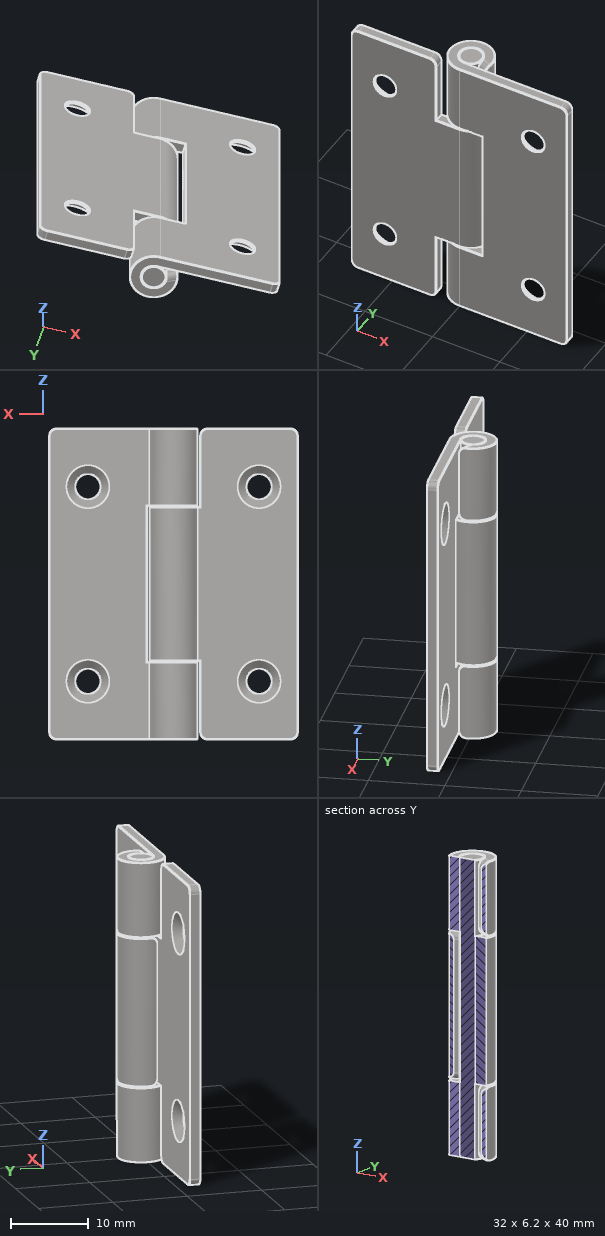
import cadquery as cq
import math

hinge_width = 32.0
hinge_height = 40.0
barrel_diameter = 6.2
pin_diameter = 3.2
curl_end_angle = -27.0
middle_knuckle_length = 19.8
knuckle_gap = 0.1
barrel_clearance = 0.3
corner_radius = 1.0
edge_chamfer = 0.1
hole_diameter = 3.2
countersink_diameter = 5.5
countersink_angle = 90.0
hole_spacing_x = 22.0
hole_spacing_z = 25.0

barrel_radius = barrel_diameter / 2
bore_radius = pin_diameter / 2
sheet_thickness = barrel_radius - bore_radius
leaf_reach = hinge_width / 2
half_height = hinge_height / 2
middle_half_length = middle_knuckle_length / 2
outer_knuckle_start = middle_half_length + knuckle_gap
cutout_reach = barrel_radius + barrel_clearance

tolerance = 0.0005


def polar(radius, degrees):
    angle = math.radians(degrees)
    return (radius * math.cos(angle), radius * math.sin(angle))


def axial_block(x_start, x_end, z_start, z_end):
    """Block spanning the full barrel depth, used to cut a leaf to length."""
    return (
        cq.Workplane("XY", origin=(0, 0, z_start))
        .rect(x_end - x_start, 2 * barrel_diameter)
        .extrude(z_end - z_start)
        .translate(((x_start + x_end) / 2, 0, 0))
    )


def curled_sheet():
    """Flat sheet towards +X whose inner edge is rolled around the hinge axis."""
    sheet_tangent_angle = 270.0
    middle_angle = (curl_end_angle + sheet_tangent_angle) / 2
    return (
        cq.Workplane("XY", origin=(0, 0, -half_height))
        .moveTo(leaf_reach, -barrel_radius)
        .lineTo(0, -barrel_radius)
        .threePointArc(polar(barrel_radius, middle_angle), polar(barrel_radius, curl_end_angle))
        .lineTo(*polar(bore_radius, curl_end_angle))
        .threePointArc(polar(bore_radius, middle_angle), (0, -bore_radius))
        .lineTo(leaf_reach, -bore_radius)
        .close()
        .extrude(hinge_height)
    )


def round_curl_ends(leaf):
    """Round the corners of the curl's end face on every knuckle."""
    end_x, end_y = polar((bore_radius + barrel_radius) / 2, curl_end_angle)
    reach = sheet_thickness / 4
    end_edges = cq.selectors.BoxSelector(
        (end_x - reach, end_y - reach, -hinge_height),
        (end_x + reach, end_y + reach, hinge_height),
    )
    return leaf.edges(end_edges).edges("not |Z").fillet(corner_radius)


def lies_on_sheet_surface(point):
    """True on the two faces of the flat sheet and on the two cylinders they roll into."""
    from_axis = math.hypot(point.x, point.y)
    distances = [abs(point.y + radius) for radius in (bore_radius, barrel_radius)]
    distances += [abs(from_axis - radius) for radius in (bore_radius, barrel_radius)]
    return min(distances) < tolerance


def break_sheet_edges(leaf):
    """Chamfer the outline of the sheet on its outer and its rolled-in surface."""
    outline = []
    for edge in leaf.edges().vals():
        points = [edge.positionAt(fraction) for fraction in (0, 0.5, 1)]
        is_bend_line = all(abs(point.x) < tolerance for point in points)
        if all(lies_on_sheet_surface(point) for point in points) and not is_bend_line:
            outline.append(edge)
    return leaf.newObject(outline).chamfer(edge_chamfer)


def drill_screw_holes(leaf):
    """Drill through the flat sheet, break the outer rim and countersink from the barrel side."""
    hole_radius = hole_diameter / 2
    countersink_radius = countersink_diameter / 2
    countersink_depth = (countersink_radius - hole_radius) / math.tan(math.radians(countersink_angle / 2))
    hole = (
        cq.Workplane("XY")
        .moveTo(0, -barrel_radius)
        .lineTo(hole_radius + edge_chamfer, -barrel_radius)
        .lineTo(hole_radius, -barrel_radius + edge_chamfer)
        .lineTo(hole_radius, -bore_radius - countersink_depth)
        .lineTo(countersink_radius, -bore_radius)
        .lineTo(0, -bore_radius)
        .close()
        .revolve(360, (0, 0, 0), (0, 1, 0))
    )
    for side in (-1, 1):
        leaf = leaf.cut(hole.translate((hole_spacing_x / 2, 0, side * hole_spacing_z / 2)))
    return leaf


def make_outer_leaf():
    """Leaf towards +X with a knuckle at each end of the barrel."""
    cutout = axial_block(-cutout_reach, cutout_reach, -outer_knuckle_start, outer_knuckle_start)
    leaf = curled_sheet().cut(cutout)
    leaf = leaf.edges("|Y and >X").fillet(corner_radius)
    return drill_screw_holes(break_sheet_edges(round_curl_ends(leaf)))


def make_middle_leaf():
    """Leaf towards -X with one knuckle in the middle of the barrel."""
    leaf = curled_sheet()
    for z_start, z_end in ((-half_height, -middle_half_length), (middle_half_length, half_height)):
        leaf = leaf.cut(axial_block(-cutout_reach, cutout_reach, z_start, z_end))
    leaf = leaf.edges("|Y").edges("<Z or >Z").fillet(corner_radius)
    return drill_screw_holes(break_sheet_edges(round_curl_ends(leaf))).mirror("YZ")


def make_pin():
    """Pin that fills the bore and ends flush with the barrel."""
    pin = cq.Workplane("XY", origin=(0, 0, -half_height)).circle(pin_diameter / 2).extrude(hinge_height)
    return pin.faces("<Z or >Z").chamfer(edge_chamfer)


outer_leaf = make_outer_leaf()
middle_leaf = make_middle_leaf()
pin = make_pin()

result = cq.Compound.makeCompound([outer_leaf.val(), middle_leaf.val(), pin.val()])